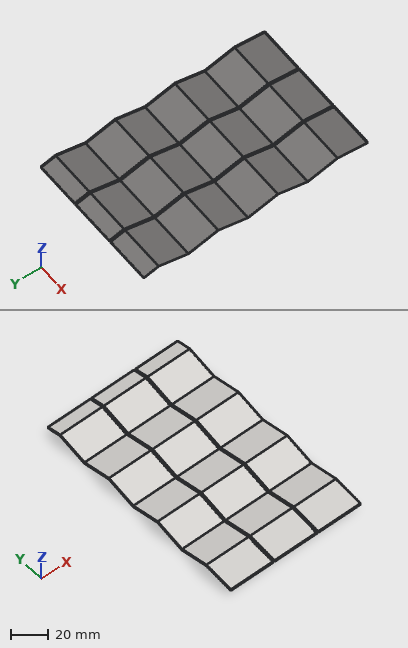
import cadquery as cq

length = 150.2
height = 6.0
strip_width = 30.0
strip_gap = 0.98
strip_count = 3
thickness = 1.0
full_panels = 7

panel_length = length / (full_panels + 0.5)
fold_rise = height - thickness
half_rise = fold_rise / 2
strip_pitch = strip_width + strip_gap
front_y = -length / 2
underside_z = -height / 2


def underside_points():
    """Zigzag (Y, Z) points, with both ends at half the fold rise."""
    points = [(front_y, underside_z + half_rise)]
    for fold in range(1, full_panels + 1):
        is_ridge = fold % 2 == 1
        z = underside_z + (fold_rise if is_ridge else 0)
        points.append((front_y + fold * panel_length, z))
    points.append((front_y + length, underside_z + half_rise))
    return points


def make_strip(center_x):
    """One folded sheet strip with vertical end faces."""
    underside = underside_points()
    top = [(y, z + thickness) for y, z in underside]
    outline = underside + top[::-1]
    return (
        cq.Workplane("YZ", origin=(center_x - strip_width / 2, 0, 0))
        .polyline(outline)
        .close()
        .extrude(strip_width)
    )


strips = []
for index in range(strip_count):
    strip_x = (index - (strip_count - 1) / 2) * strip_pitch
    strips.append(make_strip(strip_x))

result = cq.Compound.makeCompound([strip.val() for strip in strips])